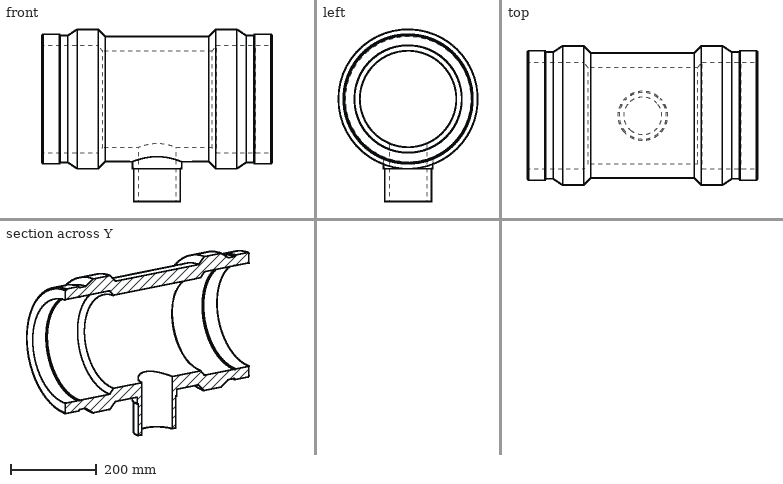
import cadquery as cq

length = 538.0
half_length = length / 2
pipe_diameter = 293.0
bore_diameter = 225.0

mouth_diameter = 250.0
rim_diameter = 303.5
rim_chamfer = 3.0
neck_diameter = 297.0
bulge_diameter = 326.0
rim_end = 41.0
neck_start = 43.0
neck_end = 61.0
bulge_start = 82.5
bulge_end = 132.0
bulge_taper_end = 148.0

groove_start = 39.5
groove_width = 4.0
groove_depth = 1.0
groove_end = groove_start + groove_width
groove_diameter = mouth_diameter + 2 * groove_depth
seat_start = 131.0
seat_end = 141.5

branch_diameter = 110.0
branch_bore_diameter = 88.0
collar_diameter = 115.5
collar_bottom = -162.5
total_height = 403.0
branch_bottom = bulge_diameter / 2 - total_height


def revolve_symmetric(stations):
    """Revolve (depth from end face, diameter) stations, mirrored about X = 0, around the X axis."""
    left = [(depth - half_length, diameter / 2) for depth, diameter in stations]
    right = [(-x, radius) for x, radius in reversed(left)]
    profile = [(-half_length, 0), *left, *right, (half_length, 0)]
    return cq.Workplane("XY").polyline(profile).close().revolve(360, (0, 0, 0), (1, 0, 0))


def downward_cylinder(diameter, bottom):
    """Cylinder from the pipe axis down to the given height."""
    return cq.Workplane("XY").circle(diameter / 2).extrude(bottom)


pipe_outside = revolve_symmetric([
    (0, rim_diameter - 2 * rim_chamfer),
    (rim_chamfer, rim_diameter),
    (rim_end, rim_diameter),
    (neck_start, neck_diameter),
    (neck_end, neck_diameter),
    (bulge_start, bulge_diameter),
    (bulge_end, bulge_diameter),
    (bulge_taper_end, pipe_diameter),
])

pipe_inside = revolve_symmetric([
    (0, mouth_diameter),
    (groove_start, mouth_diameter),
    (groove_start, groove_diameter),
    (groove_end, groove_diameter),
    (groove_end, mouth_diameter),
    (seat_start, mouth_diameter),
    (seat_end, bore_diameter),
])

branch = downward_cylinder(branch_diameter, branch_bottom)
collar = downward_cylinder(collar_diameter, collar_bottom)
branch_bore = downward_cylinder(branch_bore_diameter, branch_bottom)

result = pipe_outside.union(collar).union(branch).cut(pipe_inside).cut(branch_bore)